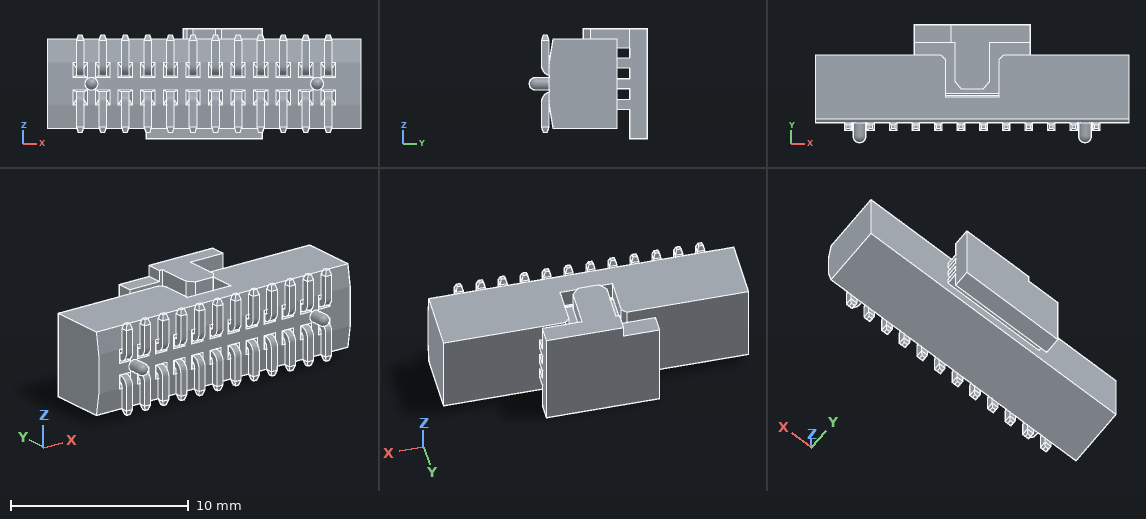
import cadquery as cq
import math

BODY_LENGTH = 17.65
BODY_HEIGHT = 5.05
BODY_DEPTH = 3.83
FLAT_HALF_HEIGHT = 1.19
EDGE_SETBACK = 0.22

PIN_COUNT = 12
PIN_PITCH = 1.27
PIN_SIZE = 0.43
PIN_TIP_SIZE = 0.22
PIN_TIP_LENGTH = 0.32
PIN_END = 2.75
LEG_BOTTOM = 0.45
BEND_OUTER_RADIUS = 0.58
BEND_INNER_RADIUS = BEND_OUTER_RADIUS - PIN_SIZE
LEG_EMBED = 1.0

POCKET_WIDTH = 0.8
POCKET_INNER = 0.35
POCKET_OUTER = FLAT_HALF_HEIGHT
POCKET_DEPTH = (POCKET_WIDTH - PIN_SIZE) / 2

PEG_SPACING = 12.7
PEG_RADIUS = 0.36
PEG_LENGTH = 1.12

LATCH_WIDTH = 6.55
LATCH_HEIGHT = 6.2
PLATE_THICKNESS = 1.0
PLATE_BACK = 5.53
PLATE_FRONT = PLATE_BACK - PLATE_THICKNESS
STEP_X = -1.19
STEP_TOP = 2.43
TONGUE_WIDTH = 1.96
TONGUE_TIP = 1.92
TONGUE_BOTTOM = 2.0
TONGUE_CORNER_X = 0.36
TONGUE_CORNER_Y = 0.42
WEB_COUNT = 3
WEB_THICKNESS = 0.58
WEB_PITCH = 1.165
WEB_OVERLAP = 0.2

NOTCH_WIDTH = 3.03
NOTCH_END = 1.45
NOTCH_FLOOR = WEB_PITCH + WEB_THICKNESS / 2
NOTCH_MOUTH_CHAMFER = 0.26
LEDGE_EDGE = 1.66
GROOVE_EDGE = 1.55
GROOVE_DROP = 0.05


def centered_box(width, y_range, z_range, x_center=0):
    """Box of a given X width spanning the given Y and Z ranges."""
    depth = y_range[1] - y_range[0]
    height = z_range[1] - z_range[0]
    box = cq.Workplane("XY").box(width, depth, height, centered=(True, False, False))
    return box.translate((x_center, y_range[0], z_range[0]))


def along_x(profile, width):
    """Extrude a closed YZ profile symmetrically about X = 0."""
    return profile.extrude(width / 2, both=True)


def make_body():
    half_height = BODY_HEIGHT / 2
    profile = (
        cq.Workplane("YZ")
        .moveTo(0, -FLAT_HALF_HEIGHT)
        .lineTo(EDGE_SETBACK, -half_height)
        .lineTo(BODY_DEPTH, -half_height)
        .lineTo(BODY_DEPTH, half_height)
        .lineTo(EDGE_SETBACK, half_height)
        .lineTo(0, FLAT_HALF_HEIGHT)
        .close()
    )
    return along_x(profile, BODY_LENGTH)


def make_notch():
    top = BODY_HEIGHT / 2
    groove_floor = NOTCH_FLOOR - GROOVE_DROP
    profile = (
        cq.Workplane("YZ")
        .moveTo(NOTCH_END, top)
        .lineTo(NOTCH_END, groove_floor)
        .lineTo(GROOVE_EDGE, groove_floor)
        .lineTo(LEDGE_EDGE, NOTCH_FLOOR)
        .lineTo(BODY_DEPTH, NOTCH_FLOOR)
        .lineTo(BODY_DEPTH, top)
        .close()
    )
    side = NOTCH_WIDTH / 2
    mouth = (
        cq.Workplane("XY", origin=(0, 0, NOTCH_FLOOR))
        .moveTo(-side, BODY_DEPTH - NOTCH_MOUTH_CHAMFER)
        .lineTo(side, BODY_DEPTH - NOTCH_MOUTH_CHAMFER)
        .lineTo(side + NOTCH_MOUTH_CHAMFER, BODY_DEPTH)
        .lineTo(-side - NOTCH_MOUTH_CHAMFER, BODY_DEPTH)
        .close()
        .extrude(top - NOTCH_FLOOR)
    )
    return along_x(profile, NOTCH_WIDTH).union(mouth)


def make_latch():
    top = LATCH_HEIGHT / 2
    plate = centered_box(LATCH_WIDTH, (PLATE_FRONT, PLATE_BACK), (-top, top))
    step_width = STEP_X + LATCH_WIDTH / 2
    step = centered_box(
        step_width, (PLATE_FRONT, PLATE_BACK), (STEP_TOP, top), STEP_X - step_width / 2
    )
    latch = plate.cut(step)

    side = TONGUE_WIDTH / 2
    tip_side = side - TONGUE_CORNER_X
    corner_y = TONGUE_TIP + TONGUE_CORNER_Y
    tongue = (
        cq.Workplane("XY", origin=(0, 0, TONGUE_BOTTOM))
        .moveTo(-side, PLATE_BACK)
        .lineTo(-side, corner_y)
        .lineTo(-tip_side, TONGUE_TIP)
        .lineTo(tip_side, TONGUE_TIP)
        .lineTo(side, corner_y)
        .lineTo(side, PLATE_BACK)
        .close()
        .extrude(top - TONGUE_BOTTOM)
    )
    latch = latch.union(tongue)

    for index in range(WEB_COUNT):
        center_z = (index - (WEB_COUNT - 1) / 2) * WEB_PITCH
        z_range = (center_z - WEB_THICKNESS / 2, center_z + WEB_THICKNESS / 2)
        web = centered_box(LATCH_WIDTH, (BODY_DEPTH - WEB_OVERLAP, PLATE_FRONT), z_range)
        latch = latch.union(web)
    return latch


def make_pocket():
    """Tapered pocket for one upper lead centred on X = 0."""
    mouth_center = (POCKET_INNER + POCKET_OUTER) / 2
    leg_center = LEG_BOTTOM + PIN_SIZE / 2
    return (
        cq.Workplane("XZ", origin=(0, 0, mouth_center))
        .rect(POCKET_WIDTH, POCKET_OUTER - POCKET_INNER)
        .workplane(offset=-POCKET_DEPTH)
        .center(0, leg_center - mouth_center)
        .rect(PIN_SIZE, PIN_SIZE)
        .loft(ruled=True)
    )


def make_pin():
    """One upper lead centred on X = 0: leg, bend, upright and pyramid tip."""
    bend_y = BEND_OUTER_RADIUS - PIN_SIZE
    bend_z = LEG_BOTTOM + BEND_OUTER_RADIUS
    shoulder = PIN_END - PIN_TIP_LENGTH
    outer_mid = BEND_OUTER_RADIUS * math.sqrt(0.5)
    inner_mid = BEND_INNER_RADIUS * math.sqrt(0.5)
    profile = (
        cq.Workplane("YZ")
        .moveTo(LEG_EMBED, LEG_BOTTOM)
        .lineTo(bend_y, LEG_BOTTOM)
        .threePointArc((bend_y - outer_mid, bend_z - outer_mid), (-PIN_SIZE, bend_z))
        .lineTo(-PIN_SIZE, shoulder)
        .lineTo(0, shoulder)
        .lineTo(0, bend_z)
        .threePointArc(
            (bend_y - inner_mid, bend_z - inner_mid), (bend_y, bend_z - BEND_INNER_RADIUS)
        )
        .lineTo(LEG_EMBED, LEG_BOTTOM + PIN_SIZE)
        .close()
    )
    tip = (
        cq.Workplane("XY", origin=(0, -PIN_SIZE / 2, shoulder))
        .rect(PIN_SIZE, PIN_SIZE)
        .workplane(offset=PIN_TIP_LENGTH)
        .rect(PIN_TIP_SIZE, PIN_TIP_SIZE)
        .loft(ruled=True)
    )
    return along_x(profile, PIN_SIZE).union(tip)


def both_rows(feature):
    """Copies of an upper-row feature at every pin position of both rows."""
    lower = feature.mirror("XY")
    copies = []
    for index in range(PIN_COUNT):
        x = (index - (PIN_COUNT - 1) / 2) * PIN_PITCH
        copies.append(feature.translate((x, 0, 0)).val())
        copies.append(lower.translate((x, 0, 0)).val())
    return cq.Workplane("XY").newObject([cq.Compound.makeCompound(copies)])


def make_peg(x):
    straight_length = PEG_LENGTH - PEG_RADIUS
    shank = cq.Workplane("XZ", origin=(x, 0, 0)).circle(PEG_RADIUS).extrude(straight_length)
    dome = cq.Workplane("XY", origin=(x, -straight_length, 0)).sphere(PEG_RADIUS)
    return shank.union(dome)


result = make_body().cut(make_notch()).union(make_latch())
result = result.cut(both_rows(make_pocket())).union(both_rows(make_pin()))
for peg_x in (-PEG_SPACING / 2, PEG_SPACING / 2):
    result = result.union(make_peg(peg_x))